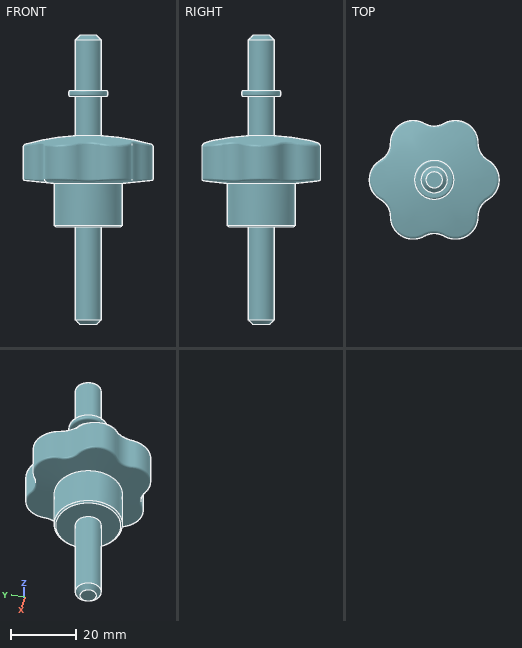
import cadquery as cq
import math

ROD_DIAMETER = 8.0
ROD_LENGTH = 88.95
ROD_CHAMFER = 1.5
ROD_RADIUS = ROD_DIAMETER / 2

RING_DIAMETER = 12.0
RING_THICKNESS = 2.0
RING_FILLET = 0.6
RING_BOTTOM = 70.0

HUB_DIAMETER = 21.0
HUB_BOTTOM = 30.0
HUB_TOP = 43.3
HUB_CHAMFER = 0.5

LOBE_COUNT = 6
KNOB_DIAMETER = 39.9
KNOB_RADIUS = KNOB_DIAMETER / 2
LOBE_RADIUS = 7.0
GRIP_RADIUS = 6.0

KNOB_BOTTOM = HUB_TOP
KNOB_TOP = 58.2
DOME_RADIUS = 70.3
UNDERSIDE_ANGLE = 6.0
KNOB_TOP_FILLET = 1.0
KNOB_BOTTOM_FILLET = 0.5
BLANK_MARGIN = 0.9

LOBE_STEP = 2 * math.pi / LOBE_COUNT
LOBE_CENTER = KNOB_RADIUS - LOBE_RADIUS
GRIP_CENTER = LOBE_CENTER * math.cos(LOBE_STEP / 2) + math.sqrt(
    (LOBE_RADIUS + GRIP_RADIUS) ** 2 - (LOBE_CENTER * math.sin(LOBE_STEP / 2)) ** 2
)


OUTERMOST = cq.selectors.RadiusNthSelector(-1)


def polar(radius, angle):
    """X and Y of the point at a radius and angle around the knob axis."""
    return (radius * math.cos(angle), radius * math.sin(angle))


def touch_point(lobe_angle, grip_angle):
    """Point where a lobe circle and a grip circle touch."""
    lobe_x, lobe_y = polar(LOBE_CENTER, lobe_angle)
    grip_x, grip_y = polar(GRIP_CENTER, grip_angle)
    share = LOBE_RADIUS / (LOBE_RADIUS + GRIP_RADIUS)
    return (lobe_x + share * (grip_x - lobe_x), lobe_y + share * (grip_y - lobe_y))


def make_rod():
    rod = cq.Workplane("XY").circle(ROD_RADIUS).extrude(ROD_LENGTH)
    return rod.faces("<Z or >Z").chamfer(ROD_CHAMFER)


def make_collar(diameter, bottom, height):
    """Round body with a rod-sized bore."""
    collar = cq.Workplane("XY").workplane(offset=bottom)
    return collar.circle(diameter / 2).circle(ROD_RADIUS).extrude(height)


def make_ring():
    ring = make_collar(RING_DIAMETER, RING_BOTTOM, RING_THICKNESS)
    return ring.edges(OUTERMOST).fillet(RING_FILLET)


def make_hub():
    hub = make_collar(HUB_DIAMETER, HUB_BOTTOM, HUB_TOP - HUB_BOTTOM)
    return hub.faces("<Z").edges(OUTERMOST).chamfer(HUB_CHAMFER)


def make_knob_prism():
    """Lobed prism over the full height of the knob."""
    outline = cq.Workplane("XY").workplane(offset=KNOB_BOTTOM)
    outline = outline.moveTo(*touch_point(0, -LOBE_STEP / 2))
    for index in range(LOBE_COUNT):
        lobe_angle = index * LOBE_STEP
        grip_angle = lobe_angle + LOBE_STEP / 2
        next_lobe_angle = lobe_angle + LOBE_STEP
        lobe_tip = polar(KNOB_RADIUS, lobe_angle)
        grip_valley = polar(GRIP_CENTER - GRIP_RADIUS, grip_angle)
        outline = outline.threePointArc(lobe_tip, touch_point(lobe_angle, grip_angle))
        outline = outline.threePointArc(grip_valley, touch_point(next_lobe_angle, grip_angle))
    return outline.close().extrude(KNOB_TOP - KNOB_BOTTOM)


def make_knob_envelope():
    """Turned blank, wider than the lobes, with the domed top and conical underside."""
    blank_radius = KNOB_RADIUS + BLANK_MARGIN
    seat_radius = HUB_DIAMETER / 2
    rise = (blank_radius - seat_radius) * math.tan(math.radians(UNDERSIDE_ANGLE))
    dome_center = KNOB_TOP - DOME_RADIUS

    def dome_height(radius):
        return dome_center + math.sqrt(DOME_RADIUS**2 - radius**2)

    half_profile = (
        cq.Workplane("XZ")
        .moveTo(0, KNOB_BOTTOM)
        .lineTo(seat_radius, KNOB_BOTTOM)
        .lineTo(blank_radius, KNOB_BOTTOM + rise)
        .lineTo(blank_radius, dome_height(blank_radius))
        .threePointArc((blank_radius / 2, dome_height(blank_radius / 2)), (0, KNOB_TOP))
        .close()
    )
    return half_profile.revolve(360, (0, 0, 0), (0, 1, 0))


def make_knob():
    knob = make_knob_prism().intersect(make_knob_envelope())
    knob = knob.faces(">Z").edges().fillet(KNOB_TOP_FILLET)
    underside_rim = knob.faces("%CONE").edges("not %CIRCLE")
    knob = underside_rim.fillet(KNOB_BOTTOM_FILLET)
    bore = cq.Workplane("XY").circle(ROD_RADIUS).extrude(ROD_LENGTH)
    return knob.cut(bore)


rod = make_rod()
ring = make_ring()
hub = make_hub()
knob = make_knob()

result = cq.Compound.makeCompound([rod.val(), ring.val(), hub.val(), knob.val()])